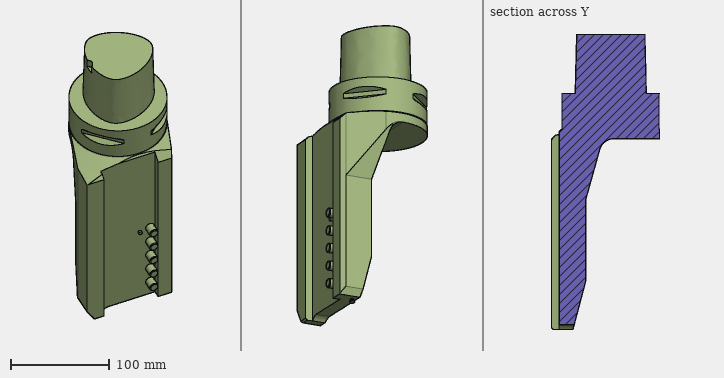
import cadquery as cq
import math

total_height = 300.0
collar_top = 240.0
collar_bottom = 203.5
flange_bottom = 193.8

flange_radius = 50.0
collar_diameter = 100.0
collar_radius = collar_diameter / 2
seam_bevel = 0.5
slot_height = 224.5
slot_floor_distance = 44.5
slot_floor_width = 4.8
slot_side_angle = 33.0

shank_radius = 36.3
lobe_height = 2.6
shank_taper = 1.5
profile_points = 48
key_notch_radius = 5.7
key_notch_depth = 8.7
key_notch_center_y = -34.5

outer_x = 60.3
front_y = -62.5
back_y = 34.8
front_corner_x = 37.8
back_corner_y = 32.5
back_edge_x = 54.5
inner_x = 25.2
shoulder_x = 8.0
toe_x = 38.5
inner_face_top = 132.5
inner_face_bottom = 49.8
throat_radius = 14.5
roof_slope = 15.5
roof_bevel = 10.0
tip_bevel = 1.8

blade_bottom = 4.8
back_bevel_height = 13.2
back_bevel_y = 32.0
toe_start_y = -36.0
toe_curve_middle = (-39.5, 3.3)
toe_back_y = -43.2
toe_front_y = -53.5
toe_bevel_height = 15.0

seat_x = 52.5
seat_front_y = -43.5
seat_back_y = 17.0
screw_radius = 4.8
screw_y = 11.5
screw_rise = 3.0
screw_bevel = 1.0
screw_count = 5
lowest_screw_z = 22.5
screw_pitch = 19.0
pin_radius = 1.95
pin_rise = 2.5
pin_z = 96.0
stop_screw_radius = 1.5
stop_screw_head_radius = 2.55
stop_screw_head_thickness = 1.5
stop_screw_length = 3.5
stop_screw_position = (42.0, 23.5)
stop_screw_tilt = 15.0


def tangent_point(x, y, side):
    """Point where a line from (x, y) touches the flange; side is +1 or -1."""
    angle = math.atan2(y, x) + side * math.acos(flange_radius / math.hypot(x, y))
    return flange_radius * math.cos(angle), flange_radius * math.sin(angle)


def prism(plane, points, start, end):
    """Polygon extruded between two offsets along the plane normal."""
    return cq.Workplane(plane).workplane(offset=start).polyline(points).close().extrude(end - start)


def lobed_section(radius):
    """Closed three-lobed curve with one lobe toward +Y."""
    points = []
    for i in range(profile_points):
        a = 2 * math.pi * i / profile_points
        reach = radius + lobe_height * math.cos(3 * (a - math.pi / 2))
        slope = -3 * lobe_height * math.sin(3 * (a - math.pi / 2))
        x = reach * math.cos(a) - slope * math.sin(a)
        y = reach * math.sin(a) + slope * math.cos(a)
        points.append(cq.Vector(x, y, 0))
    return cq.Wire.assembleEdges([cq.Edge.makeSpline(points, periodic=True)])


def make_shank():
    base = lobed_section(shank_radius).translate(cq.Vector(0, 0, collar_top))
    top = lobed_section(shank_radius - shank_taper).translate(cq.Vector(0, 0, total_height))
    shank = cq.Workplane(cq.Solid.makeLoft([base, top], True))
    notch = (
        cq.Workplane("XY", origin=(0, key_notch_center_y, total_height))
        .circle(key_notch_radius)
        .extrude(-key_notch_depth)
    )
    return shank.cut(notch)


def make_collar():
    collar = (
        cq.Workplane("XY", origin=(0, 0, collar_bottom))
        .circle(collar_radius)
        .extrude(collar_top - collar_bottom)
        .faces("<Z")
        .chamfer(seam_bevel)
    )
    half_floor = slot_floor_width / 2
    slot_depth = collar_radius - slot_floor_distance
    half_mouth = half_floor + slot_depth * math.tan(math.radians(slot_side_angle))
    slot_section = [
        (slot_floor_distance, slot_height - half_floor),
        (collar_radius, slot_height - half_mouth),
        (collar_radius, slot_height + half_mouth),
        (slot_floor_distance, slot_height + half_floor),
    ]
    slot = prism("XZ", slot_section, -collar_radius, collar_radius)
    for angle in (45, 135, 225, 315):
        collar = collar.cut(slot.rotate((0, 0, 0), (0, 0, 1), angle))
    return collar


def make_plan():
    """Flange and blade holder as seen along Z, at full height."""
    front_touch = tangent_point(front_corner_x, front_y, -1)
    back_touch = tangent_point(back_edge_x, back_y, 1)
    return (
        cq.Workplane("XY")
        .moveTo(*front_touch)
        .lineTo(front_corner_x, front_y)
        .lineTo(outer_x, front_y)
        .lineTo(outer_x, back_corner_y)
        .lineTo(back_edge_x, back_y)
        .lineTo(*back_touch)
        .threePointArc((-flange_radius, 0), front_touch)
        .close()
        .extrude(collar_bottom)
    )


def make_holder():
    side_profile = [
        (-flange_radius, collar_bottom),
        (-flange_radius, flange_bottom),
        (shoulder_x, flange_bottom),
        (inner_x, inner_face_top),
        (inner_x, inner_face_bottom),
        (toe_x, 0),
        (outer_x - tip_bevel, 0),
        (outer_x, tip_bevel),
        (outer_x, collar_bottom - roof_bevel),
        (outer_x - roof_bevel, collar_bottom),
    ]
    throat = cq.selectors.NearestToPointSelector((shoulder_x, 0, flange_bottom))
    side = prism("XZ", side_profile, -flange_radius, -front_y).edges(throat).fillet(throat_radius)
    face = (
        cq.Workplane("YZ", origin=(-flange_radius, 0, 0))
        .moveTo(flange_radius, collar_bottom)
        .lineTo(flange_radius, flange_bottom)
        .lineTo(back_y, inner_face_top)
        .lineTo(back_y, back_bevel_height)
        .lineTo(back_bevel_y, blade_bottom)
        .lineTo(toe_start_y, blade_bottom)
        .threePointArc(toe_curve_middle, (toe_back_y, 0))
        .lineTo(toe_front_y, 0)
        .lineTo(front_y, toe_bevel_height)
        .lineTo(front_y, collar_bottom)
        .close()
        .extrude(outer_x + flange_radius)
    )

    roof_radius = 2 * flange_radius
    roof_drop = (roof_radius - flange_radius) * math.tan(math.radians(roof_slope))
    roof = (
        cq.Workplane("XZ")
        .polyline([
            (0, 0),
            (roof_radius, 0),
            (roof_radius, collar_bottom - roof_drop),
            (flange_radius, collar_bottom),
            (0, collar_bottom),
        ])
        .close()
        .revolve(360, (0, 0), (0, 1))
    )
    seat = (
        cq.Workplane("XY", origin=(seat_x, seat_front_y, 0))
        .rect(outer_x - seat_x, seat_back_y - seat_front_y, centered=False)
        .extrude(collar_bottom)
    )
    return make_plan().intersect(side).intersect(face).intersect(roof).cut(seat)


def make_seat_pins():
    pins = (
        cq.Workplane("YZ", origin=(seat_x, 0, pin_z))
        .circle(pin_radius)
        .extrude(pin_rise)
    )
    for i in range(screw_count):
        screw = (
            cq.Workplane("YZ", origin=(seat_x, screw_y, lowest_screw_z + i * screw_pitch))
            .circle(screw_radius)
            .extrude(outer_x + screw_rise - seat_x)
            .faces(">X")
            .chamfer(screw_bevel)
        )
        pins = pins.union(screw)
    return pins


def make_stop_screw():
    """Small tilted screw under the blade holder; its shank is rooted in the body."""
    x, y = stop_screw_position
    shaft = (
        cq.Workplane("XY")
        .circle(stop_screw_radius)
        .extrude(stop_screw_length, both=True)
    )
    head = (
        cq.Workplane("XY", origin=(0, 0, -stop_screw_length))
        .circle(stop_screw_head_radius)
        .extrude(stop_screw_head_thickness)
    )
    return (
        shaft.union(head)
        .rotate((0, 0, 0), (1, 0, 0), stop_screw_tilt)
        .translate((x, y, blade_bottom))
    )


result = (
    make_holder()
    .union(make_collar())
    .union(make_shank())
    .union(make_seat_pins())
    .union(make_stop_screw())
)